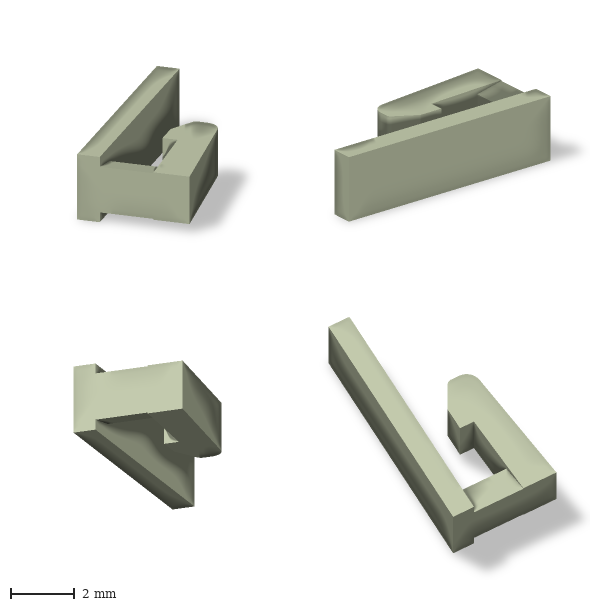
import cadquery as cq
import math

plate_thickness = 0.75
plate_length = 8.02
plate_height = 2.2

part_width = 3.72
arm_height = 1.6
arm_length = 4.6
arm_root_inner_x = 2.53
arm_outer_lean = math.radians(6.1)
arm_tip_outer_x = part_width - arm_length * math.tan(arm_outer_lean)
tip_outer_radius = 0.5
tip_inner_radius = 0.2

hook_face_x = 1.87
hook_underside_y = 2.9
hook_neck_x = 2.37
ramp_start_y = 3.72
ramp_angle = math.radians(30)
ramp_end_x = hook_face_x + (arm_length - ramp_start_y) * math.tan(ramp_angle)

bridge_length = 1.0
bridge_front_height = 1.54
bridge_taper = math.radians(10)
bridge_back_height = bridge_front_height - 2 * bridge_length * math.tan(bridge_taper)


def make_plate():
    """Flat rectangular plate, centred on Z = 0."""
    return cq.Workplane("XY").box(
        plate_thickness, plate_length, plate_height, centered=(False, False, True)
    )


def make_arm():
    """Leaning arm with a hooked, rounded tip."""
    outline = [
        (arm_root_inner_x, 0),
        (part_width, 0),
        (arm_tip_outer_x, arm_length),
        (ramp_end_x, arm_length),
        (hook_face_x, ramp_start_y),
        (hook_face_x, hook_underside_y),
        (hook_neck_x, hook_underside_y),
    ]
    arm = cq.Workplane("XY").polyline(outline).close().extrude(arm_height / 2, both=True)
    arm = round_tip_corner(arm, arm_tip_outer_x, tip_outer_radius)
    return round_tip_corner(arm, ramp_end_x, tip_inner_radius)


def round_tip_corner(arm, corner_x, radius):
    """Fillet the upright edge at the given X on the end of the arm."""
    corner = cq.selectors.NearestToPointSelector((corner_x, arm_length, 0))
    return arm.edges("|Z").edges(corner).fillet(radius)


def make_bridge():
    """Wedge-shaped bridge, reaching just as far as the root of the arm."""
    profile = [
        (0, -bridge_front_height / 2),
        (bridge_length, -bridge_back_height / 2),
        (bridge_length, bridge_back_height / 2),
        (0, bridge_front_height / 2),
    ]
    span = arm_root_inner_x - plate_thickness
    return (
        cq.Workplane("YZ", origin=(plate_thickness, 0, 0))
        .polyline(profile)
        .close()
        .extrude(span)
    )


result = make_plate().union(make_bridge()).union(make_arm())